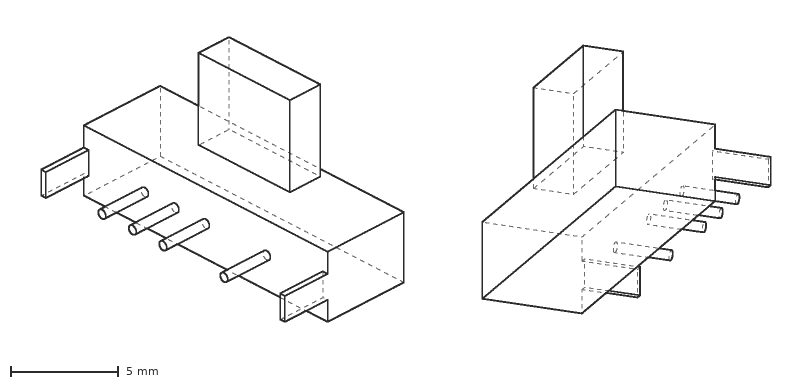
import cadquery as cq

body_length = 16.0
body_depth = 5.0
body_height = 3.8
body_front = -body_depth
mid_height = body_height / 2

knob_length = 6.0
knob_depth = 2.0
knob_height = 5.0
knob_back_inset = 0.48

terminal_length = 2.8
pin_diameter = 0.5
pin_pitch = 2.0
pin_slots = (-2, -1, 0, 2)
tab_thickness = 0.32
tab_height = 1.4


def make_body():
    return cq.Workplane("XY").box(
        body_length, body_depth, body_height, centered=(True, False, False)
    ).translate((0, body_front, 0))


def make_knob():
    knob_front = -knob_back_inset - knob_depth
    return cq.Workplane("XY").box(
        knob_length, knob_depth, knob_height, centered=(True, False, False)
    ).translate((0, knob_front, body_height))


def make_pin(x):
    return (
        cq.Workplane("XZ", origin=(x, body_front, mid_height))
        .circle(pin_diameter / 2)
        .extrude(terminal_length)
    )


def make_tab(side):
    """Mounting tab flush with the end face on the given side (-1 or 1)."""
    x = side * (body_length - tab_thickness) / 2
    return (
        cq.Workplane("XZ", origin=(x, body_front, mid_height))
        .rect(tab_thickness, tab_height)
        .extrude(terminal_length)
    )


result = make_body().union(make_knob())
for slot in pin_slots:
    result = result.union(make_pin(slot * pin_pitch))
for side in (-1, 1):
    result = result.union(make_tab(side))